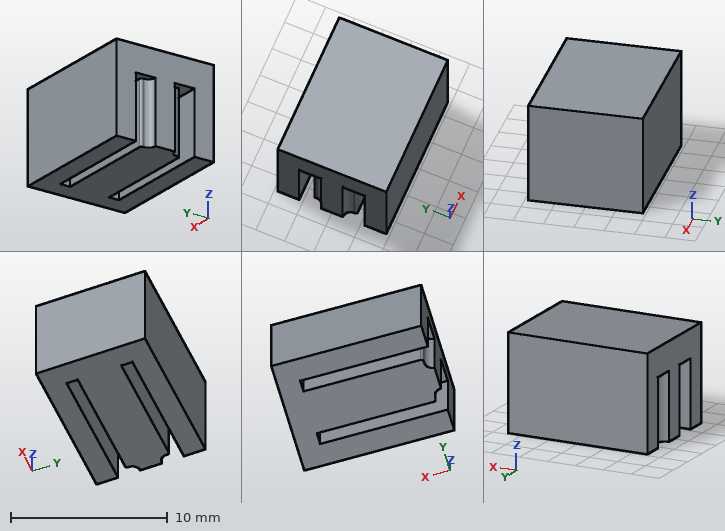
import cadquery as cq

LENGTH = 9.98
WIDTH = 7.54
HEIGHT = 6.75

SIDE_WALL = 1.5
TONGUE_WIDTH = 1.5
ROOF = 2.0
BACK_WALL = SIDE_WALL
SLOT_WIDTH = (WIDTH - 2 * SIDE_WALL - TONGUE_WIDTH) / 2
SLOT_HEIGHT = HEIGHT - ROOF
SLOT_LENGTH = LENGTH - BACK_WALL

FILLET_RADIUS = 0.54
CORNER_RADIUS = 0.16
NARROW_SLOT_WIDTH = SLOT_WIDTH / 2

FRONT_X = -LENGTH / 2
BOTTOM_Z = -HEIGHT / 2


def make_slot():
    """Slot on the +Y side of the tongue, drawn in plan and raised from the bottom."""
    outer_y = WIDTH / 2 - SIDE_WALL
    tongue_y = TONGUE_WIDTH / 2
    wide_tongue_y = outer_y - NARROW_SLOT_WIDTH
    shoulder_x = FRONT_X + FILLET_RADIUS
    back_x = FRONT_X + SLOT_LENGTH
    return (
        cq.Workplane("XY", origin=(0, 0, BOTTOM_Z))
        .moveTo(FRONT_X, outer_y)
        .lineTo(FRONT_X, tongue_y)
        .radiusArc((shoulder_x, tongue_y + FILLET_RADIUS), -FILLET_RADIUS)
        .lineTo(shoulder_x, wide_tongue_y - CORNER_RADIUS)
        .radiusArc((shoulder_x + CORNER_RADIUS, wide_tongue_y), CORNER_RADIUS)
        .lineTo(back_x, wide_tongue_y)
        .lineTo(back_x, outer_y)
        .close()
        .extrude(SLOT_HEIGHT)
    )


block = cq.Workplane("XY").box(LENGTH, WIDTH, HEIGHT)
slot = make_slot()
result = block.cut(slot).cut(slot.mirror("XZ"))